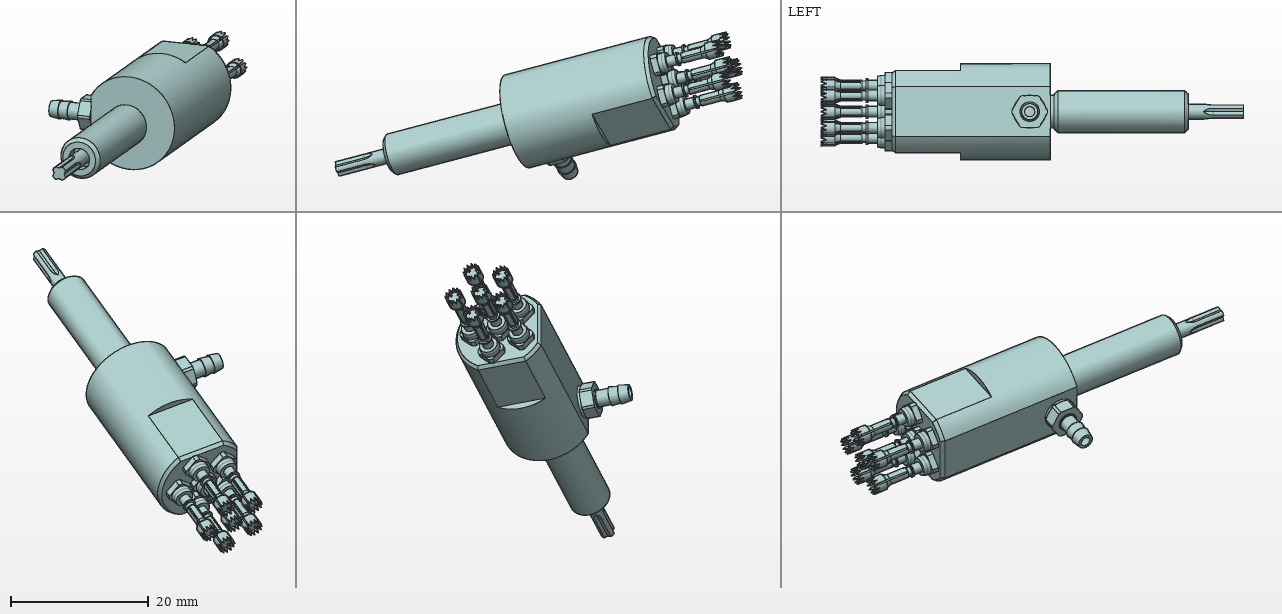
import cadquery as cq
import math


body_radius = 7.0
body_length = 23.0
flat_half_width = 3.6
flat_offset = math.sqrt(body_radius**2 - flat_half_width**2)
top_flat_length = 9.9
rear_chamfer_length = 0.55
rear_chamfer_inset = 0.4

neck_radius = 2.4
neck_length = 0.55
sleeve_radius = 3.05
sleeve_end = -20.0
sleeve_chamfer = 0.52
sleeve_bore_radius = 1.6
sleeve_bore_depth = 1.85

shaft_radius = 1.1
shaft_end = -28.0
groove_start = -23.55
groove_valley_radius = 0.8
groove_half_width = 0.5
groove_count = 4
cutter_radius = 3.05

fitting_y = 3.0
fitting_tip_x = -13.3
barb_ridges_x = (-11.85, -10.35)
collar_x = -8.45
hex_front_x = -8.3
hex_rear_x = -6.4
washer_radius = 2.4
hex_across_flats = 4.65
hex_corner_radius = 2.6
collar_radius = 1.4
barb_tip_radius = 1.15
hose_radius = 1.2
barb_ridge_radius = 1.4
fitting_bore_radius = 0.75

probe_ring_radius = 4.0
ring_probe_count = 5
nut_length = 1.0
nut_across_flats = 3.1
nut_corner_radius = 1.9
flange_radius = 1.5
flange_end_radius = 1.35
flange_straight = 0.6
flange_length = 1.1
probe_radius = 0.8
probe_bead_radius = 1.0
probe_bead_start = 26.5
probe_bead_length = 0.25
probe_neck_radius = 0.7
plunger_start = 27.35
plunger_end = 30.4
crown_start = 31.2
crown_cone_radius = 1.1
crown_radius = 1.2
crown_end = 33.3
crown_cup_radius = 1.0
tooth_count = 12
tooth_depth = 0.8
tooth_land = 0.05
probe_slot_width = 0.25
probe_slot_start = 27.5
probe_slot_floor = 0.6
probe_slot_count = 4


def cylinder_y(radius, start, end):
    base = cq.Vector(0, start, 0)
    return cq.Workplane(cq.Solid.makeCylinder(radius, end - start, base, cq.Vector(0, 1, 0)))


def box_between(x_range, y_range, z_range):
    sizes = [high - low for low, high in (x_range, y_range, z_range)]
    corner = (x_range[0], y_range[0], z_range[0])
    return cq.Workplane("XY").box(*sizes, centered=False).translate(corner)


def revolve_about_y(profile):
    """Revolve (radius, y) points about the Y axis."""
    return cq.Workplane("XY").polyline(profile).close().revolve(360, (0, 0, 0), (0, 1, 0))


def turn_about_y(shape, angle):
    return shape.rotate((0, 0, 0), (0, 1, 0), angle)


def make_body():
    rear_start = body_length - top_flat_length
    chamfer_start = body_length - rear_chamfer_length
    rear_box = box_between(
        (-flat_offset, body_radius), (rear_start, body_length), (-flat_offset, flat_offset)
    )
    front_box = box_between(
        (-flat_offset, body_radius), (0, rear_start), (-body_radius, body_radius)
    )
    turned = revolve_about_y([
        (0, 0),
        (body_radius, 0),
        (body_radius, chamfer_start),
        (body_radius - rear_chamfer_inset, body_length),
        (0, body_length),
    ])
    body = turned.intersect(rear_box.union(front_box))

    bevel = [
        (flat_offset, chamfer_start),
        (flat_offset + rear_chamfer_inset, chamfer_start),
        (flat_offset + rear_chamfer_inset, body_length),
        (flat_offset - rear_chamfer_inset, body_length),
    ]
    wedge = cq.Workplane("XY").polyline(bevel).close().extrude(body_radius, both=True)
    for angle in (90, 180, 270):
        body = body.cut(turn_about_y(wedge, angle))
    return body


def make_sleeve():
    sleeve_start = -neck_length
    sleeve_rim = sleeve_radius - sleeve_chamfer
    sleeve = revolve_about_y([
        (0, 0),
        (neck_radius, 0),
        (neck_radius, sleeve_start),
        (sleeve_rim, sleeve_start),
        (sleeve_radius, sleeve_start - sleeve_chamfer),
        (sleeve_radius, sleeve_end + sleeve_chamfer),
        (sleeve_rim, sleeve_end),
        (0, sleeve_end),
    ])
    return sleeve.cut(cylinder_y(sleeve_bore_radius, sleeve_end, sleeve_end + sleeve_bore_depth))


def make_shaft():
    shaft = cylinder_y(shaft_radius, shaft_end, sleeve_end + sleeve_bore_depth)
    shaft = turn_about_y(shaft, 45)
    surface_height = math.sqrt(shaft_radius**2 - groove_half_width**2)
    flare = groove_half_width / (surface_height - groove_valley_radius)
    rim_height = 0.6
    top_height = groove_valley_radius + rim_height
    top_half_width = rim_height * flare
    groove = (
        cq.Workplane("XZ", origin=(0, shaft_end, 0))
        .polyline([
            (0, groove_valley_radius),
            (top_half_width, top_height),
            (-top_half_width, top_height),
        ])
        .close()
        .extrude(shaft_end - groove_start)
    )
    wheel_height = groove_valley_radius + cutter_radius
    wheel = (
        cq.Workplane("XY", origin=(0, groove_start, wheel_height))
        .polyline([
            (0, -cutter_radius),
            (rim_height * flare, rim_height - cutter_radius),
            (rim_height * flare, 0),
            (-rim_height * flare, 0),
            (-rim_height * flare, rim_height - cutter_radius),
        ])
        .close()
        .revolve(360, (0, 0, 0), (1, 0, 0))
    )
    for index in range(groove_count):
        angle = index * 360 / groove_count
        shaft = shaft.cut(turn_about_y(groove, angle)).cut(turn_about_y(wheel, angle))
    return shaft


def make_fitting():
    first_ridge, second_ridge = barb_ridges_x
    barb = (
        cq.Workplane("XY")
        .polyline([
            (fitting_tip_x, 0),
            (fitting_tip_x, barb_tip_radius),
            (first_ridge, barb_ridge_radius),
            (first_ridge, hose_radius),
            (second_ridge, barb_ridge_radius),
            (second_ridge, hose_radius),
            (collar_x, hose_radius),
            (collar_x, collar_radius),
            (hex_rear_x, collar_radius),
            (hex_rear_x, washer_radius),
            (-flat_offset, washer_radius),
            (-flat_offset, 0),
        ])
        .close()
        .revolve(360, (0, 0, 0), (1, 0, 0))
    )
    hex_length = hex_rear_x - hex_front_x
    hex_corner_diameter = hex_across_flats / math.cos(math.pi / 6)
    hex_plane = cq.Workplane("YZ", origin=(hex_front_x, 0, 0))
    hex_nut = hex_plane.polygon(6, hex_corner_diameter).extrude(hex_length)
    hex_nut = hex_nut.intersect(hex_plane.circle(hex_corner_radius).extrude(hex_length))
    bore = (
        cq.Workplane("YZ", origin=(fitting_tip_x, 0, 0))
        .circle(fitting_bore_radius)
        .extrude(hex_rear_x - fitting_tip_x)
    )
    return barb.union(hex_nut).cut(bore).translate((0, fitting_y, 0))


def cut_probe_slots(probe):
    """Cut lengthwise slots halfway between the X and Z directions, along the rod and the crown."""
    half_width = probe_slot_width / 2
    slot = box_between(
        (probe_slot_floor, crown_radius + 0.6), (probe_slot_start, crown_end), (-half_width, half_width)
    )
    for index in range(probe_slot_count):
        probe = probe.cut(turn_about_y(slot, (index + 0.5) * 360 / probe_slot_count))
    return probe


def cut_crown_teeth(probe):
    """Hollow the crown and cut V notches across it, leaving pointed teeth."""
    cup = cylinder_y(crown_cup_radius, crown_end - tooth_depth, crown_end)
    notch_half_width = crown_radius * math.sin(math.pi / tooth_count) - tooth_land / 2
    notch = (
        cq.Workplane("XY")
        .polyline([
            (0, crown_end - tooth_depth),
            (notch_half_width, crown_end),
            (-notch_half_width, crown_end),
        ])
        .close()
        .extrude(crown_radius)
    )
    probe = probe.cut(cup)
    for index in range(tooth_count):
        probe = probe.cut(turn_about_y(notch, (index + 0.5) * 360 / tooth_count))
    return probe


def make_probe():
    flange_start = body_length + nut_length
    flange_end = flange_start + flange_length
    bead_end = probe_bead_start + probe_bead_length
    probe = revolve_about_y([
        (0, body_length),
        (flange_radius, body_length),
        (flange_radius, flange_start + flange_straight),
        (flange_end_radius, flange_end),
        (probe_radius, flange_end),
        (probe_radius, probe_bead_start),
        (probe_bead_radius, probe_bead_start),
        (probe_bead_radius, bead_end),
        (probe_neck_radius, bead_end),
        (probe_neck_radius, plunger_start),
        (probe_radius, plunger_start),
        (probe_radius, plunger_end),
        (crown_cone_radius, crown_start),
        (crown_radius, crown_start),
        (crown_radius, crown_end),
        (0, crown_end),
    ])
    nut = cq.Workplane("XY").box(nut_across_flats, nut_length, nut_across_flats)
    nut = turn_about_y(nut, 45).translate((0, body_length + nut_length / 2, 0))
    nut = nut.intersect(cylinder_y(nut_corner_radius, body_length, flange_start))
    probe = probe.union(nut)
    return cut_crown_teeth(cut_probe_slots(probe))


result = make_body().union(make_sleeve()).union(make_shaft()).union(make_fitting())

probe = make_probe()
probe_places = [(0, 0)]
for index in range(ring_probe_count):
    angle = index * 2 * math.pi / ring_probe_count
    probe_places.append((probe_ring_radius * math.cos(angle), probe_ring_radius * math.sin(angle)))
for x, z in probe_places:
    result = result.union(probe.translate((x, 0, z)))